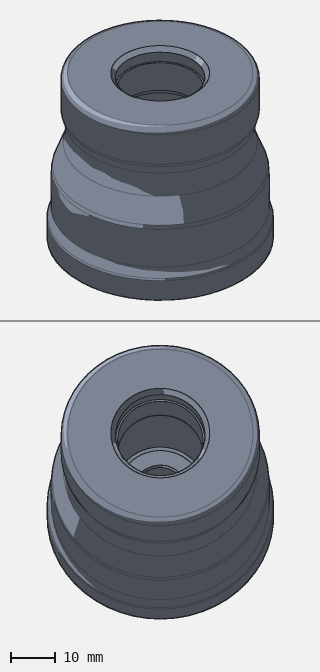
import cadquery as cq

height = 44.45
base_radius = 25.4

bottom_chamfer = 0.25
base_top_z = 5.5
base_shoulder_z = 6.0
base_shoulder_radius = 25.25
body_foot_radius = 24.45
foot_arc_z = 7.2
foot_arc_radius = 24.65
body_bottom_z = 8.5
body_bulge = 0.15
body_top_z = 18.7
body_top_radius = 24.4
cone_bottom_z = 19.65
cone_bottom_radius = 24.2
neck_bottom_z = 25.9
neck_bottom_radius = 21.8
neck_middle_z = 29.2
neck_radius = 21.25
neck_top_z = 31.95
neck_top_radius = 21.45
collar_radius = 22.25
collar_taper_z = 34.05
collar_taper_radius = 22.0
collar_bottom_z = 34.85
top_fillet = 1.45

mouth_radius = 10.0
mouth_chamfer = 1.05
ledge_depth = 3.6
bore_radius = 9.55
bore_depth = 11.05
chamber_radius = 10.15
chamber_depth = 12.2

bushing_top_z = 15.25
bushing_radius = 9.3
bushing_bore_radius = 5.3
bushing_bore_chamfer = 0.4


def make_housing_blank():
    """Solid of revolution with a waisted outer profile."""
    body_middle_z = (body_bottom_z + body_top_z) / 2
    profile = (
        cq.Workplane("XZ")
        .lineTo(base_radius - bottom_chamfer, 0)
        .lineTo(base_radius, bottom_chamfer)
        .lineTo(base_radius, base_top_z)
        .lineTo(base_shoulder_radius, base_shoulder_z)
        .threePointArc((foot_arc_radius, foot_arc_z), (body_foot_radius, body_bottom_z))
        .threePointArc((body_foot_radius + body_bulge, body_middle_z), (body_top_radius, body_top_z))
        .lineTo(cone_bottom_radius, cone_bottom_z)
        .lineTo(neck_bottom_radius, neck_bottom_z)
        .threePointArc((neck_radius, neck_middle_z), (neck_top_radius, neck_top_z))
        .lineTo(collar_taper_radius, collar_taper_z)
        .lineTo(collar_radius, collar_bottom_z)
        .lineTo(collar_radius, height)
        .lineTo(0, height)
        .close()
    )
    blank = profile.revolve(360, (0, 0, 0), (0, 1, 0))
    return blank.faces(">Z").edges().fillet(top_fillet)


def make_housing_bore():
    """Cutter for the chamfered mouth, ledge, bore, flared chamber and bushing seat."""
    profile = (
        cq.Workplane("XZ")
        .lineTo(bushing_radius, 0)
        .lineTo(bushing_radius, bushing_top_z)
        .lineTo(chamber_radius, bushing_top_z)
        .lineTo(chamber_radius, height - chamber_depth)
        .lineTo(bore_radius, height - bore_depth)
        .lineTo(bore_radius, height - ledge_depth)
        .lineTo(mouth_radius, height - ledge_depth)
        .lineTo(mouth_radius, height - mouth_chamfer)
        .lineTo(mouth_radius + mouth_chamfer, height)
        .lineTo(0, height)
        .close()
    )
    return profile.revolve(360, (0, 0, 0), (0, 1, 0))


def make_bushing():
    """Thick ring with a chamfer at the top of its bore."""
    ring = cq.Workplane("XY").circle(bushing_radius).circle(bushing_bore_radius).extrude(bushing_top_z)
    bore_rim = cq.selectors.RadiusNthSelector(0)
    return ring.faces(">Z").edges(bore_rim).chamfer(bushing_bore_chamfer)


housing = make_housing_blank().cut(make_housing_bore())
bushing = make_bushing()

result = cq.Compound.makeCompound([housing.val(), bushing.val()])